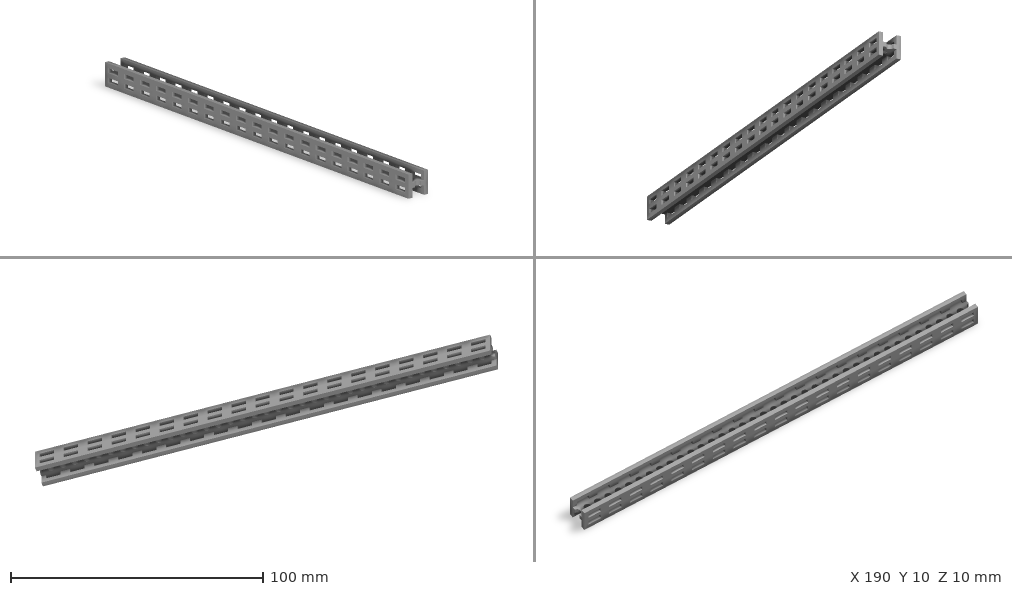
import cadquery as cq

length = 190.0
width = 10.0
height = 10.0

band_count = 5
band_height = height / band_count

flange_thickness = band_height
web_thickness = band_height

slot_count = 19
slot_row_count = 2
slot_pitch = length / slot_count
slot_gap = 4.0
slot_length = slot_pitch - slot_gap
slot_height = band_height
slot_row_pitch = 2 * band_height

hole_pitch = slot_pitch / 2
hole_count = 2 * slot_count + 1
hole_diameter = 3.0


def h_beam():
    """Two upright flanges joined by a web at mid height."""
    web = cq.Workplane("XY").box(length, width, web_thickness)
    flange_y = (width - flange_thickness) / 2
    flanges = (
        cq.Workplane("XY")
        .pushPoints([(0, -flange_y), (0, flange_y)])
        .box(length, flange_thickness, height)
    )
    return web.union(flanges)


def flange_slots():
    """Rectangular cutters running through both flanges along Y."""
    return (
        cq.Workplane("XZ")
        .rarray(slot_pitch, slot_row_pitch, slot_count, slot_row_count)
        .rect(slot_length, slot_height)
        .extrude(width, both=True)
    )


def web_holes():
    """Round cutters running through the web along Z."""
    first_x = -length / 2
    centers = [(first_x + index * hole_pitch, 0) for index in range(hole_count)]
    return (
        cq.Workplane("XY")
        .pushPoints(centers)
        .circle(hole_diameter / 2)
        .extrude(height, both=True)
    )


result = h_beam().cut(flange_slots()).cut(web_holes())